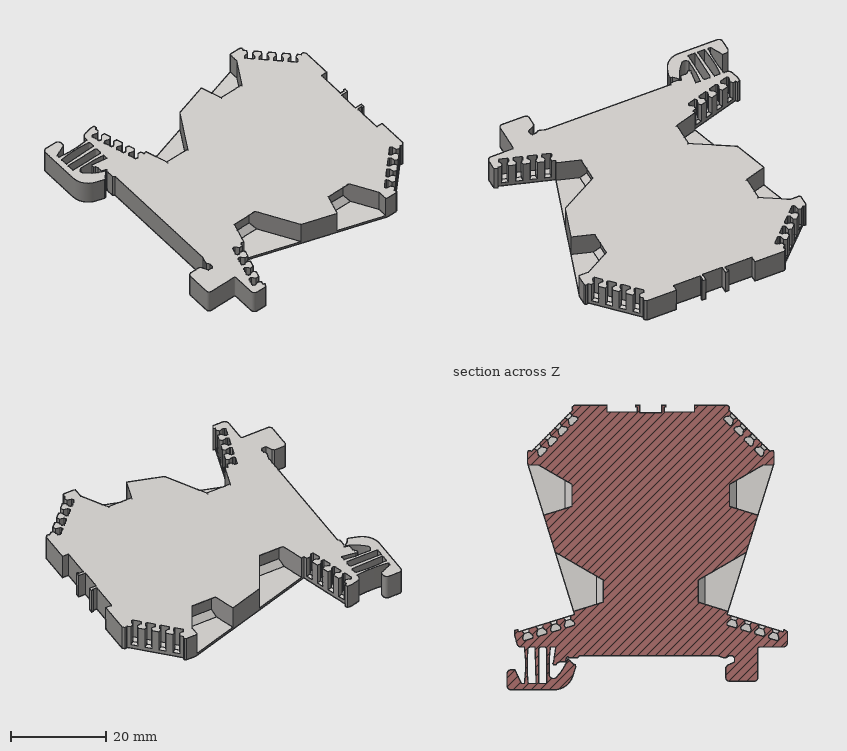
import cadquery as cq
import math

HEIGHT = 6.1
TOP_Y = 59.8
LEFT_X = -30.2
RIGHT_X = 28.7
OUTSIDE = 3.0

SHOULDER_X = 25.9
SHOULDER_Y = 47.6
SHOULDER_TIP_Y = 50.25
SHOULDER_CHAMFER = (0.2, 0.4)
SHOULDER_LIP = 0.25
WAIST = (16.0, 15.85)
BEVEL_START = (16.3, 58.8)
BEVEL_ANGLE = 45.0
BEVEL_LENGTH = 12.3
TOP_EDGE_END = 16.0
TOP_STOP_X = 16.5
TOP_STOP_Y = (58.95, 59.4)
NOTCH_HALF = 9.15
NOTCH_FLOOR = 58.35
LATCH_FLOOR = 58.2
LATCH_INNER = 2.3
LATCH_OUTER = 2.9
LATCH_BARB = 3.15
BARB_BOTTOM = 59.4

WING_ANGLE = 17.2
WING_BOTTOM = 8.95
WING_LENGTH = 12.25
WING_STOP = (27.9, 12.7)
LEFT_WING_X = -28.6
RAIL_Y = 7.1
RAIL_LIP_Y = 6.7

FOOT_LEFT = 15.7
FOOT_RIGHT = 22.5
FOOT_BOTTOM = 1.8
FOOT_CORNER_RADIUS = 0.8
FOOT_ROOT_RADIUS = 0.3
WING_CORNER_RADIUS = 0.95

CLIP_FLOOR = 1.4
CLIP_LOBE_TOP = 4.25
HOOK_RADIUS = 4.2
HOOK_ARC_START_X = -20.35
HOOK_ARC_SWEEP = 73.0
HOOK_TIP = (-17.4, 6.6)
STRUT_LEFT = -26.55
STRUT_WAIST = 0.25
FIRST_SLOT = (-25.7, -24.35)
SECOND_SLOT = (-23.5, -21.9)
SPRING_GAP_LEFT = -21.05
SPRING_GAP_RIGHT = -20.0
STRUT_LEAN = 0.25
THIRD_STRUT_BEND_Y = 6.6
HOOK_TROUGH_WALL = (3.0, 3.6)
CLIP_CORNER_RADIUS = 0.9
STRUT_SLOT_RADIUS = 0.4

SLOT_COUNT = 4
SLOT_PITCH = 3.05
SLOT_FLOOR = 1.3
NECK_OUTER_FLOOR = 1.0
NECK_MOUTH_HALF = 0.8
NECK_HALF = 0.51
NECK_DEPTH = 0.7
SEAT_HALF = 1.1
SEAT_END_HALF = 0.9
SEAT_WIDEST = (1.55, 1.85)
SEAT_DEPTH = 2.15
BEVEL_FIRST_SLOT = 1.6
WING_FIRST_SLOT = 1.6

RECESS_FLOOR = 0.6
FUNNEL_DEPTH = 1.2
FUNNEL_BACK_FLOOR = 1.85
FLOOR_SETBACK = 0.25
RECESS_HEIGHT = 5.7
RECESS_UPPER_ANGLE = 30.0
UPPER_RECESS = (17.75, 38.15)
LOWER_RECESS = (11.2, 18.05)
UPPER_RECESS_CEILING = 47.2


def polar(point, length, degrees):
    angle = math.radians(degrees)
    return (point[0] + length * math.cos(angle), point[1] + length * math.sin(angle))


def mirrored(points):
    return [(-x, y) for x, y in reversed(points)]


def prism(points):
    return cq.Workplane("XY").polyline(points).close().extrude(HEIGHT)


def round_corners(solid, points, radius):
    """Round the upright edges that stand at the given plan points."""
    reach = 0.03
    for x, y in points:
        low = (x - reach, y - reach, 0)
        high = (x + reach, y + reach, HEIGHT)
        corner = cq.selectors.BoxSelector(low, high)
        solid = solid.edges("|Z").edges(corner).fillet(radius)
    return solid


def plate():
    """Main plate with both wings, the top latches and the fixed foot."""
    bevel_end = polar(BEVEL_START, BEVEL_LENGTH, -BEVEL_ANGLE)
    wing_end = polar(WAIST, WING_LENGTH, -WING_ANGLE)
    upper_right = [
        WAIST,
        (SHOULDER_X, SHOULDER_Y),
        (SHOULDER_X, SHOULDER_TIP_Y - SHOULDER_CHAMFER[1]),
        (SHOULDER_X - SHOULDER_CHAMFER[0], SHOULDER_TIP_Y),
        (bevel_end[0] + SHOULDER_LIP, SHOULDER_TIP_Y),
        bevel_end,
        BEVEL_START,
        (TOP_STOP_X, TOP_STOP_Y[0]),
        (TOP_STOP_X, TOP_STOP_Y[1]),
        (TOP_EDGE_END, TOP_Y),
        (NOTCH_HALF, TOP_Y),
        (NOTCH_HALF, NOTCH_FLOOR),
        (LATCH_OUTER, NOTCH_FLOOR),
        (LATCH_OUTER, BARB_BOTTOM),
        (LATCH_BARB, BARB_BOTTOM),
        (LATCH_BARB, TOP_Y),
        (LATCH_INNER, TOP_Y),
        (LATCH_INNER, LATCH_FLOOR),
    ]
    left_wing = [
        (-wing_end[0], wing_end[1]),
        (-WING_STOP[0], WING_STOP[1]),
        (LEFT_WING_X, 12.5),
        (LEFT_WING_X, 11.4),
        (-27.9, WING_BOTTOM),
    ]
    rail_side = [
        (SPRING_GAP_RIGHT, WING_BOTTOM),
        (-20.45, 5.75),
        (-20.65, 5.5),
        (-20.4, 5.25),
        (-19.85, 5.25),
        (-19.7, 5.6),
        (-19.15, 5.85),
        (-17.95, 5.85),
        (-17.7, 6.75),
        (-17.45, 7.0),
        (-17.1, RAIL_LIP_Y),
        (-15.35, RAIL_LIP_Y),
        (-15.0, RAIL_Y),
        (14.2, RAIL_Y),
        (15.3, RAIL_LIP_Y),
        (15.8, RAIL_LIP_Y),
        (16.4, RAIL_Y),
        (17.2, RAIL_Y),
        (17.5, 6.75),
        (17.5, 5.85),
        (16.15, 5.2),
        (FOOT_LEFT, 4.7),
    ]
    foot_corners = [(FOOT_LEFT, FOOT_BOTTOM), (FOOT_RIGHT, FOOT_BOTTOM)]
    foot_root = (FOOT_RIGHT, WING_BOTTOM)
    wing_corner = (RIGHT_X, WING_BOTTOM)
    right_wing = [
        (RIGHT_X, 12.25),
        WING_STOP,
        wing_end,
    ]
    outline = upper_right + mirrored(upper_right) + left_wing + rail_side
    outline += foot_corners + [foot_root, wing_corner] + right_wing
    body = prism(outline)
    body = round_corners(body, [left_wing[-1], wing_corner], WING_CORNER_RADIUS)
    body = round_corners(body, foot_corners, FOOT_CORNER_RADIUS)
    return round_corners(body, [foot_root], FOOT_ROOT_RADIUS)


def clip_foot():
    """Base of the spring clip, its outer lobe and the hook."""
    hook_centre = (HOOK_ARC_START_X, HOOK_RADIUS)
    arc_middle = polar(hook_centre, HOOK_RADIUS, HOOK_ARC_SWEEP / 2 - 90)
    arc_end = polar(hook_centre, HOOK_RADIUS, HOOK_ARC_SWEEP - 90)
    gap_wall = SPRING_GAP_LEFT - STRUT_LEAN
    foot = (
        cq.Workplane("XY")
        .moveTo(LEFT_X, 0)
        .lineTo(HOOK_ARC_START_X, 0)
        .threePointArc(arc_middle, arc_end)
        .lineTo(-15.7, 4.85)
        .lineTo(-15.85, 5.3)
        .lineTo(-16.25, 5.45)
        .lineTo(*HOOK_TIP)
        .threePointArc((-18.5, 4.35), (-19.75, 2.75))
        .threePointArc((-20.5, 2.4), (gap_wall, HOOK_TROUGH_WALL[0]))
        .lineTo(gap_wall, HOOK_TROUGH_WALL[1])
        .lineTo(SECOND_SLOT[1], HOOK_TROUGH_WALL[1])
        .lineTo(SECOND_SLOT[1], CLIP_FLOOR)
        .lineTo(-27.15, CLIP_FLOOR)
        .lineTo(-28.5, CLIP_LOBE_TOP)
        .lineTo(LEFT_X, CLIP_LOBE_TOP)
        .close()
        .extrude(HEIGHT)
    )
    return round_corners(foot, [(LEFT_X, 0), (LEFT_X, CLIP_LOBE_TOP)], CLIP_CORNER_RADIUS)


def waisted_strut():
    """Outermost strut, thinner at mid length."""
    middle = (CLIP_FLOOR + WING_BOTTOM) / 2
    right = FIRST_SLOT[0]
    return (
        cq.Workplane("XY")
        .moveTo(STRUT_LEFT, CLIP_FLOOR)
        .lineTo(right, CLIP_FLOOR)
        .threePointArc((right - STRUT_WAIST, middle), (right, WING_BOTTOM))
        .lineTo(STRUT_LEFT, WING_BOTTOM)
        .threePointArc((STRUT_LEFT + STRUT_WAIST, middle), (STRUT_LEFT, CLIP_FLOOR))
        .close()
        .extrude(HEIGHT)
    )


def inner_struts():
    """The two straight struts, each with one leaning side."""
    second = prism([
        (FIRST_SLOT[1] + STRUT_LEAN, CLIP_FLOOR),
        (SECOND_SLOT[0], CLIP_FLOOR),
        (SECOND_SLOT[0], WING_BOTTOM),
        (FIRST_SLOT[1], WING_BOTTOM),
    ])
    third = prism([
        (SECOND_SLOT[1], CLIP_FLOOR),
        (SPRING_GAP_LEFT - STRUT_LEAN, CLIP_FLOOR),
        (SPRING_GAP_LEFT - STRUT_LEAN, THIRD_STRUT_BEND_Y),
        (SPRING_GAP_LEFT, WING_BOTTOM),
        (SECOND_SLOT[1], WING_BOTTOM),
    ])
    return second.union(third)


def marker_slot(centre, edge_angle):
    """Mushroom-shaped slot open to the sloping edge; local y points out of the body."""
    along = polar((0, 0), 1, edge_angle)
    plane = cq.Plane(origin=(*centre, 0), xDir=(*along, 0), normal=(0, 0, 1))
    half = [
        (NECK_HALF, -NECK_DEPTH),
        (SEAT_HALF, -SEAT_WIDEST[0]),
        (SEAT_HALF, -SEAT_WIDEST[1]),
        (SEAT_END_HALF, -SEAT_DEPTH),
    ]
    seat = (
        cq.Workplane(plane)
        .workplane(offset=SLOT_FLOOR)
        .polyline(half + mirrored(half))
        .close()
        .extrude(HEIGHT - SLOT_FLOOR)
    )
    neck_plan = [(NECK_MOUTH_HALF, NECK_DEPTH), (NECK_MOUTH_HALF, 0), (NECK_HALF, -NECK_DEPTH)]
    neck = cq.Workplane(plane).polyline(neck_plan + mirrored(neck_plan)).close().extrude(HEIGHT)
    outwards = polar((0, 0), 1, edge_angle + 90)
    side_plane = cq.Plane(origin=(*centre, 0), xDir=(*outwards, 0), normal=(*along, 0))
    neck_side = (
        cq.Workplane(side_plane)
        .polyline([
            (-NECK_DEPTH, SLOT_FLOOR),
            (0, NECK_OUTER_FLOOR),
            (NECK_DEPTH, NECK_OUTER_FLOOR),
            (NECK_DEPTH, HEIGHT),
            (-NECK_DEPTH, HEIGHT),
        ])
        .close()
        .extrude(NECK_MOUTH_HALF, both=True)
    )
    return seat.union(neck.intersect(neck_side))


def marker_row(start, edge_angle, first_offset):
    """Evenly spaced marker slots along one sloping edge."""
    row = cq.Workplane("XY")
    for index in range(SLOT_COUNT):
        centre = polar(start, first_offset + index * SLOT_PITCH, edge_angle)
        row = row.add(marker_slot(centre, edge_angle))
    return row.combine()


def recess(inner_corner, ceiling=TOP_Y):
    """Side recess with a flat floor and a funnel that narrows inwards."""
    rim_x, low_y = inner_corner
    back_x = rim_x - FUNNEL_DEPTH
    mouth_x = SHOULDER_X + OUTSIDE
    fall = math.tan(math.radians(WING_ANGLE))
    rise = math.tan(math.radians(RECESS_UPPER_ANGLE))
    high_y = low_y + RECESS_HEIGHT
    plan = prism([
        (back_x, low_y + FUNNEL_DEPTH * fall),
        (mouth_x, low_y - (mouth_x - rim_x) * fall),
        (mouth_x, high_y + (mouth_x - rim_x) * rise),
        (back_x, high_y - FUNNEL_DEPTH * rise),
    ])
    section = (
        cq.Workplane("XZ", origin=(0, ceiling, 0))
        .polyline([
            (mouth_x, RECESS_FLOOR),
            (rim_x + FLOOR_SETBACK, RECESS_FLOOR),
            (back_x, FUNNEL_BACK_FLOOR),
            (back_x, HEIGHT - FUNNEL_DEPTH),
            (rim_x, HEIGHT),
            (mouth_x, HEIGHT),
        ])
        .close()
        .extrude(TOP_Y)
    )
    return plan.intersect(section)


housing = plate().union(clip_foot()).union(waisted_strut()).union(inner_struts())
slot_tops = [(x, WING_BOTTOM) for x in (FIRST_SLOT[0],) + SECOND_SLOT]
housing = round_corners(housing, slot_tops, STRUT_SLOT_RADIUS)

right_cuts = [
    marker_row(BEVEL_START, -BEVEL_ANGLE, BEVEL_FIRST_SLOT),
    marker_row(WAIST, -WING_ANGLE, WING_FIRST_SLOT),
    recess(UPPER_RECESS, UPPER_RECESS_CEILING),
    recess(LOWER_RECESS),
]
for cutter in right_cuts:
    housing = housing.cut(cutter).cut(cutter.mirror("YZ"))

result = housing